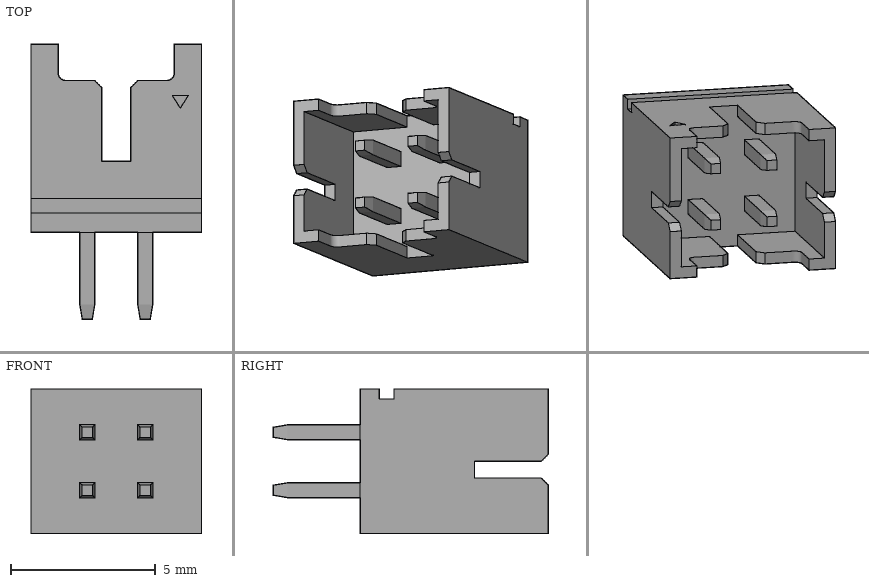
import cadquery as cq


body_width = 5.9
body_length = 6.5
body_height = 5.0
wall = 0.4

notch_width = 4.0
notch_depth = 1.25
notch_fillet = 0.25
slot_width = 1.0
slot_depth = 4.04

side_slot_height = 0.57
side_slot_depth = 2.55
side_slot_center_z = -0.29

mouth_chamfer = 0.25

cavity_depth = slot_depth

groove_start = 0.67
groove_width = 0.5
groove_depth = 0.35

mark_width = 0.55
mark_length = 0.43
mark_depth = 0.1
mark_center_x = 2.21
mark_base_y = 4.72

pin_pitch = 2.0
pin_columns = 2
pin_rows = 2
pin_size = 0.52
pin_tip_size = 0.35
pin_taper_length = 0.5
pin_solder_length = 3.0
pin_contact_end = 5.25


def box_at_y(width, length, height, start_y):
    """Box centred in X and Z that starts at start_y and runs toward +Y."""
    box = cq.Workplane("XY").box(width, length, height, centered=(True, False, True))
    return box.translate((0, start_y, 0))


def mouth_slot_outline(plane, width, depth, mouth_y):
    """Slot that ends at depth below the open end, with a chamfered mouth at mouth_y."""
    half = width / 2
    flared = half + mouth_chamfer
    return (
        cq.Workplane(plane)
        .moveTo(-half, body_length - depth)
        .lineTo(half, body_length - depth)
        .lineTo(half, mouth_y - mouth_chamfer)
        .lineTo(flared, mouth_y)
        .lineTo(-flared, mouth_y)
        .lineTo(-half, mouth_y - mouth_chamfer)
        .close()
    )


def top_and_bottom_cutout():
    """Wide notch with rounded corners, leading into a narrow slot, through the full height."""
    notch_floor = body_length - notch_depth
    notch = box_at_y(notch_width, notch_depth, body_height, notch_floor)
    notch = notch.faces("<Y").edges("|Z").fillet(notch_fillet)
    slot = mouth_slot_outline("XY", slot_width, slot_depth, notch_floor)
    return notch.union(slot.extrude(body_height / 2, both=True))


def side_slots():
    """Chamfered slot through both side walls."""
    slot_plane = cq.Plane(origin=(0, 0, side_slot_center_z), xDir=(0, 0, 1), normal=(-1, 0, 0))
    outline = mouth_slot_outline(slot_plane, side_slot_height, side_slot_depth, body_length)
    return outline.extrude(body_width / 2, both=True)


def top_groove():
    groove = box_at_y(body_width, groove_width, groove_depth, groove_start)
    return groove.translate((0, 0, (body_height - groove_depth) / 2))


def pin_one_mark():
    """Triangle that points toward the solder side."""
    return (
        cq.Workplane("XY", origin=(mark_center_x, mark_base_y, body_height / 2))
        .moveTo(-mark_width / 2, 0)
        .lineTo(mark_width / 2, 0)
        .lineTo(0, -mark_length)
        .close()
        .extrude(-mark_depth)
    )


def housing():
    cavity_width = body_width - 2 * wall
    cavity_height = body_height - 2 * wall
    cavity = box_at_y(cavity_width, cavity_depth, cavity_height, body_length - cavity_depth)
    body = box_at_y(body_width, body_length, body_height, 0)
    for removed in (cavity, top_and_bottom_cutout(), side_slots(), top_groove(), pin_one_mark()):
        body = body.cut(removed)
    return body


def pin_taper(shank_end, direction):
    """Tapered tip that grows from the shank end toward +Y (1) or -Y (-1)."""
    plane = cq.Plane(origin=(0, shank_end, 0), xDir=(1, 0, 0), normal=(0, direction, 0))
    return (
        cq.Workplane(plane)
        .rect(pin_size, pin_size)
        .workplane(offset=pin_taper_length)
        .rect(pin_tip_size, pin_tip_size)
        .loft(ruled=True)
    )


def pin():
    """Square pin on the Y axis with a tapered tip at both ends."""
    shank_start = pin_taper_length - pin_solder_length
    shank_end = pin_contact_end - pin_taper_length
    shank = box_at_y(pin_size, shank_end - shank_start, pin_size, shank_start)
    return shank.union(pin_taper(shank_start, -1)).union(pin_taper(shank_end, 1))


result = housing()
single_pin = pin()
for column in range(pin_columns):
    for row in range(pin_rows):
        pin_x = (column - (pin_columns - 1) / 2) * pin_pitch
        pin_z = (row - (pin_rows - 1) / 2) * pin_pitch
        result = result.union(single_pin.translate((pin_x, 0, pin_z)))